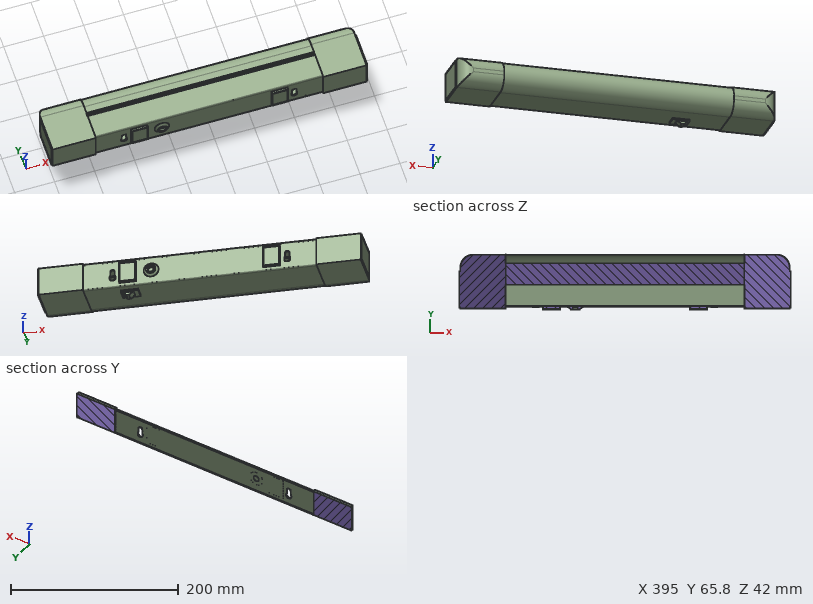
import cadquery as cq

total_length = 395.0
depth = 64.8
height = 36.5
mid_z = height / 2
cap_length = 55.3
half_body = total_length / 2 - cap_length

cap_depth = 64.5
cap_rounding = 15.8
panel_thickness = 1.0
panel_inset = 1.0
panel_depth = 43.5

wall = 1.5
housing_back = 1.5
housing_back_fillet = 1.0
slot_y = 34.8
slot_width = 2.5
slot_lip = 1.0

tube_diameter = 27.0
tube_y = 41.0

pad_spacing = 175.5
pad_width = 20.5
pad_height = 27.0
pad_front = -1.0
pad_rim = 1.0
pad_recess = 0.5

keyhole_spacing = 213.0
keyhole_head_diameter = 7.5
keyhole_slot_width = 5.5
keyhole_head_z = 13.5
keyhole_slot_z = 21.5

grommet_x = -59.2
grommet_base_diameter = 18.0
grommet_tip_diameter = 12.0
grommet_bore_diameter = 7.5
grommet_bore_depth = 3.0

switch_x = -pad_spacing / 2
switch_y = 18.0
bezel_length = 21.5
bezel_width = 15.0
bezel_drop = 2.0
rocker_width = 10.3
rocker_drop = 5.5
rocker_start = -8.0
rocker_tip_start = -4.5
rocker_tip_end = -1.0
rocker_end = 4.7


def box_between(x_range, y_range, z_range):
    """Box given by its limits along X, Y and Z."""
    size = [high - low for low, high in (x_range, y_range, z_range)]
    return cq.Workplane("XY").box(*size, centered=False).translate(
        (x_range[0], y_range[0], z_range[0])
    )


def wall_plane(x, y, z):
    """Plane parallel to the wall face, with its normal towards the wall (-Y)."""
    return cq.Workplane("XZ", origin=(x, y, z))


def end_cap(side):
    """End cap at the -X (side = -1) or +X (side = 1) end, with a raised panel on its end face."""
    shell_end = total_length / 2 - panel_thickness
    shell = box_between((half_body, shell_end), (0, cap_depth), (0, height))
    shell = shell.faces(">Y").edges("|X").fillet(cap_rounding)
    outline = (
        box_between((half_body, shell_end), (0, cap_depth), (0, height))
        .edges(">X and >Y")
        .fillet(cap_rounding)
    )
    panel = box_between(
        (shell_end, total_length / 2),
        (panel_inset, panel_inset + panel_depth),
        (panel_inset, height - panel_inset),
    )
    cap = shell.intersect(outline).union(panel)
    return cap if side > 0 else cap.mirror("YZ")


def half_round_bar(margin):
    """Bar between the end caps with a half-round light side, a margin inside the housing outline."""
    back = housing_back + margin
    bottom = margin
    top = height - margin
    dome_start = depth - height / 2
    return (
        cq.Workplane("YZ", origin=(-half_body, 0, 0))
        .moveTo(back, bottom)
        .lineTo(dome_start, bottom)
        .threePointArc((depth - margin, mid_z), (dome_start, top))
        .lineTo(back, top)
        .close()
        .extrude(2 * half_body)
    )


def light_slot_cutter():
    """Slot through the top wall along the whole housing, with chamfered upper edges."""
    half_width = slot_width / 2
    half_mouth = half_width + slot_lip
    return (
        cq.Workplane("YZ", origin=(-half_body, slot_y, height))
        .polyline([
            (-half_width, -wall),
            (half_width, -wall),
            (half_width, -slot_lip),
            (half_mouth, 0),
            (-half_mouth, 0),
            (-half_width, -slot_lip),
        ])
        .close()
        .extrude(2 * half_body)
    )


def mounting_pad(x):
    """Rectangular pad with a slightly recessed face inside a narrow rim."""
    thickness = housing_back - pad_front
    pad = wall_plane(x, housing_back, mid_z).rect(pad_width, pad_height).extrude(thickness)
    recess = (
        wall_plane(x, pad_front + pad_recess, mid_z)
        .rect(pad_width - 2 * pad_rim, pad_height - 2 * pad_rim)
        .extrude(pad_recess)
    )
    return pad.cut(recess)


def keyhole_cutter(x):
    """Keyhole through the wall face: round head below, narrower slot above."""
    inner_face_y = housing_back + wall
    slot_travel = keyhole_slot_z - keyhole_head_z
    head = wall_plane(x, inner_face_y, keyhole_head_z).circle(keyhole_head_diameter / 2).extrude(wall)
    slot_end = wall_plane(x, inner_face_y, keyhole_slot_z).circle(keyhole_slot_width / 2).extrude(wall)
    slot = (
        wall_plane(x, inner_face_y, keyhole_head_z + slot_travel / 2)
        .rect(keyhole_slot_width, slot_travel)
        .extrude(wall)
    )
    return head.union(slot).union(slot_end)


def grommet():
    """Conical cable grommet standing on the wall face."""
    return (
        wall_plane(grommet_x, housing_back, mid_z)
        .circle(grommet_base_diameter / 2)
        .workplane(offset=housing_back - pad_front)
        .circle(grommet_tip_diameter / 2)
        .loft(ruled=True)
    )


def rocker_switch():
    """Switch bezel on the underside with a tilted rocker below it."""
    bezel = box_between(
        (switch_x - bezel_length / 2, switch_x + bezel_length / 2),
        (switch_y - bezel_width / 2, switch_y + bezel_width / 2),
        (-bezel_drop, 0),
    )
    rocker = (
        wall_plane(switch_x, switch_y + rocker_width / 2, 0)
        .polyline([
            (rocker_start, -bezel_drop),
            (rocker_tip_start, -rocker_drop),
            (rocker_tip_end, -rocker_drop),
            (rocker_end, -bezel_drop),
        ])
        .close()
        .extrude(rocker_width)
    )
    return bezel.union(rocker)


def lamp_housing():
    """Hollow housing with its light slot, pads, keyholes, grommet and switch."""
    housing = half_round_bar(0).faces("<Y").edges("|X").fillet(housing_back_fillet)
    housing = housing.cut(half_round_bar(wall)).cut(light_slot_cutter())

    for side in (-1, 1):
        housing = housing.union(mounting_pad(side * pad_spacing / 2))
        housing = housing.cut(keyhole_cutter(side * keyhole_spacing / 2))

    bore = (
        wall_plane(grommet_x, pad_front + grommet_bore_depth, mid_z)
        .circle(grommet_bore_diameter / 2)
        .extrude(grommet_bore_depth)
    )
    return housing.union(grommet()).cut(bore).union(rocker_switch())


def lamp_tube():
    """Round tube that spans the housing from cap to cap."""
    return (
        cq.Workplane("YZ", origin=(-half_body, tube_y, mid_z))
        .circle(tube_diameter / 2)
        .extrude(2 * half_body)
    )


housing = lamp_housing()
tube = lamp_tube()
caps = [end_cap(side) for side in (-1, 1)]

result = cq.Compound.makeCompound([housing.val(), tube.val(), *[cap.val() for cap in caps]])